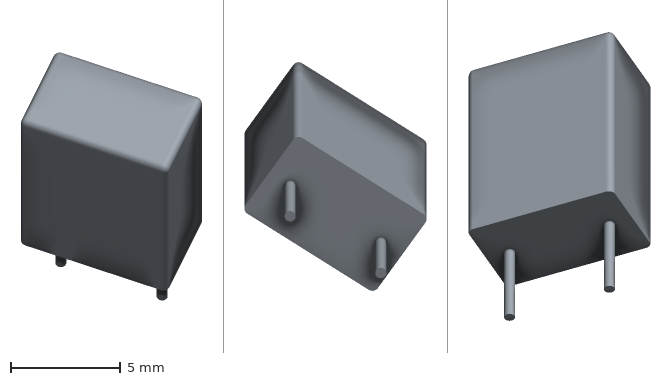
import cadquery as cq

total_height = 13.3
case_length = 7.3
case_width = 4.5
case_height = 9.5
edge_radius = 0.3

lead_diameter = 0.5
lead_pitch = 5.0
lead_length = total_height - case_height


def make_case():
    """Box with its underside at Z = 0, rounded everywhere except around the underside."""
    box = cq.Workplane("XY").box(case_length, case_width, case_height, centered=(True, True, False))
    return box.edges("|Z or >Z").fillet(edge_radius)


def make_lead(x):
    """Straight wire hanging from the underside of the case."""
    return cq.Workplane("XY").center(x, 0).circle(lead_diameter / 2).extrude(-lead_length)


case = make_case()
leads = [make_lead(side * lead_pitch / 2) for side in (-1, 1)]

result = cq.Compound.makeCompound([case.val(), *[lead.val() for lead in leads]])